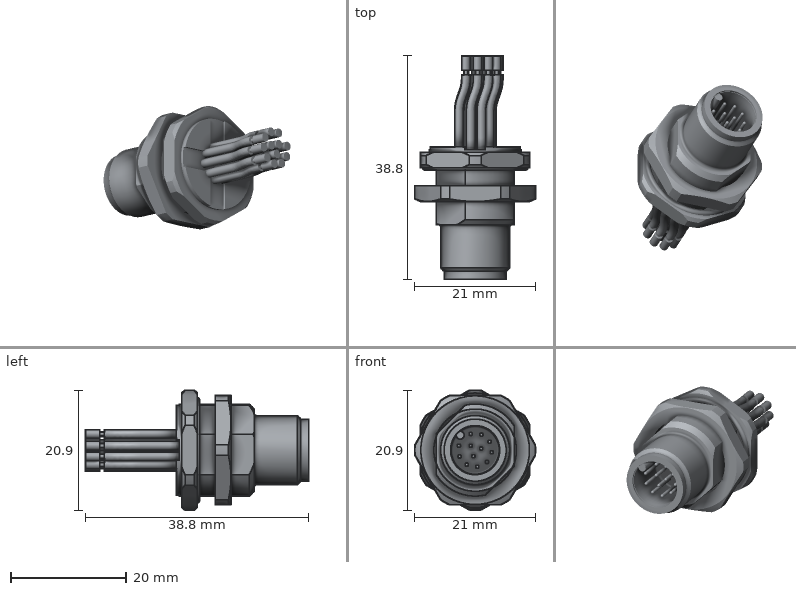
import cadquery as cq
import math


NOSE_END = 1.4
SLEEVE_START = 2.0
SLEEVE_END = 9.08
BODY_START = 9.5
LOCKNUT_START = 13.5
LOCKNUT_END = 16.3
FLANGE_START = 19.35
FLANGE_END = 22.08
COLLAR_END = 23.0
BEND_START = 29.3
BEND_END = 34.75
INSULATION_END = 35.5
CAP_START = 36.28
WIRE_END = 38.8

NOSE_RADIUS = 10.8 / 2
SLEEVE_RADIUS = 12.0 / 2
BODY_RADIUS = 16.0 / 2
BODY_CHAMFER = 0.85
BODY_FLAT_DISTANCE = 6.75
BODY_FLAT_ANGLES = (0, 135, 180, 315)
ROOT_FILLET = BODY_START - SLEEVE_END

MOUTH_RADIUS = 4.25
MOUTH_DEPTH = 0.4
SOCKET_RADIUS = 8.4 / 2
SOCKET_FLOOR_FILLET = 0.35
SOCKET_DEPTH = 9.3
KEY_RADIUS = 0.7
KEY_OFFSET = 3.7
KEY_START = MOUTH_DEPTH
KEY_ANGLE = 135

HEX_ACROSS_FLATS = 19.0
LOCKNUT_CORNER_RADIUS = 21.0 / 2
LOCKNUT_FACE_RADIUS = 9.43
LOCKNUT_BEVEL = 0.45
LOCKNUT_BORE_RADIUS = 7.18
FLANGE_CORNER_RADIUS = 20.87 / 2
FLANGE_FACE_RADIUS = 9.95
FLANGE_BEVEL = 0.6

SEAL_RING_RADIUS = 8.65
SEAL_SECTION_RADIUS = 0.5
SEAL_PROTRUSION = 0.4

NOTCH_WIDTH = 3.55
NOTCH_DEPTH = 0.45

OUTER_COUNT = 9
OUTER_CIRCLE_RADIUS = 2.9
OUTER_PITCH = 37.6
INNER_COUNT = 3
INNER_CIRCLE_RADIUS = 1.1
PIN_RADIUS = 0.6 / 2
PIN_TIP_FILLET = 0.27
PIN_START = 2.0
WIRE_RADIUS = 1.5 / 2
CONDUCTOR_RADIUS = 0.7 / 2
WIRE_SHIFT = 1.2


def polar(radius, angle):
    """Point (x, z) at an angle measured from +X toward +Z."""
    return radius * math.cos(math.radians(angle)), radius * math.sin(math.radians(angle))


def rod(radius, start, end, x=0.0, z=0.0):
    """Cylinder along Y between two stations."""
    return cq.Workplane("XZ", origin=(x, start, z)).circle(radius).extrude(start - end)


def revolve_profile(sketch):
    """Revolve a closed (radius, y) profile around the Y axis."""
    return sketch.close().revolve(360, (0, 0, 0), (0, 1, 0))


def contact_positions():
    """Outer arc of positions that leaves a gap at the key, then the inner triangle."""
    first_angle = KEY_ANGLE + (360 - (OUTER_COUNT - 1) * OUTER_PITCH) / 2
    outer = [polar(OUTER_CIRCLE_RADIUS, first_angle + i * OUTER_PITCH) for i in range(OUTER_COUNT)]
    inner = [polar(INNER_CIRCLE_RADIUS, KEY_ANGLE + i * 360 / INNER_COUNT) for i in range(INNER_COUNT)]
    return outer + inner


def shell():
    """Nose and sleeve, running into the body through a concave fillet."""
    fillet_middle = ROOT_FILLET * (1 - math.sqrt(0.5))
    sketch = (
        cq.Workplane("XY")
        .lineTo(NOSE_RADIUS, 0)
        .lineTo(NOSE_RADIUS, NOSE_END)
        .lineTo(SLEEVE_RADIUS, SLEEVE_START)
        .lineTo(SLEEVE_RADIUS, SLEEVE_END)
        .threePointArc(
            (SLEEVE_RADIUS + fillet_middle, BODY_START - fillet_middle),
            (SLEEVE_RADIUS + ROOT_FILLET, BODY_START),
        )
        .lineTo(0, BODY_START)
    )
    return revolve_profile(sketch)


def body():
    """Chamfered body with flats on both X sides and on one diagonal."""
    length = FLANGE_START - BODY_START
    blank = rod(BODY_RADIUS, BODY_START, FLANGE_START).faces("<Y").chamfer(BODY_CHAMFER)
    for angle in BODY_FLAT_ANGLES:
        waste = (
            cq.Workplane("XY")
            .box(BODY_RADIUS, length, 2 * BODY_RADIUS, centered=(False, False, True))
            .translate((BODY_FLAT_DISTANCE, BODY_START, 0))
            .rotate((0, 0, 0), (0, 1, 0), -angle)
        )
        blank = blank.cut(waste)
    return blank


def hexagon(start, end, turn):
    """Hexagonal prism along Y; at zero turn two corners point along X."""
    across_corners = HEX_ACROSS_FLATS / math.cos(math.radians(30))
    prism = cq.Workplane("XZ").polygon(6, across_corners).extrude(start - end)
    return prism.translate((0, start, 0)).rotate((0, 0, 0), (0, 1, 0), turn)


def locknut():
    """Hexagon nut with rounded corners and a bevelled front face."""
    envelope = revolve_profile(
        cq.Workplane("XY")
        .moveTo(LOCKNUT_BORE_RADIUS, LOCKNUT_START)
        .lineTo(LOCKNUT_FACE_RADIUS, LOCKNUT_START)
        .lineTo(LOCKNUT_CORNER_RADIUS, LOCKNUT_START + LOCKNUT_BEVEL)
        .lineTo(LOCKNUT_CORNER_RADIUS, LOCKNUT_END)
        .lineTo(LOCKNUT_BORE_RADIUS, LOCKNUT_END)
    )
    return hexagon(LOCKNUT_START, LOCKNUT_END, 0).intersect(envelope)


def flange():
    """Hexagon flange with rounded corners, bevelled on both faces."""
    envelope = revolve_profile(
        cq.Workplane("XY")
        .moveTo(0, FLANGE_START)
        .lineTo(FLANGE_FACE_RADIUS, FLANGE_START)
        .lineTo(FLANGE_CORNER_RADIUS, FLANGE_START + FLANGE_BEVEL)
        .lineTo(FLANGE_CORNER_RADIUS, FLANGE_END - FLANGE_BEVEL)
        .lineTo(FLANGE_FACE_RADIUS, FLANGE_END)
        .lineTo(0, FLANGE_END)
    )
    return hexagon(FLANGE_START, FLANGE_END, 30).intersect(envelope)


def seal_ring():
    """Round-section ring partly sunk into the front of the flange."""
    center_y = FLANGE_START - SEAL_PROTRUSION + SEAL_SECTION_RADIUS
    section = cq.Workplane("XY").moveTo(SEAL_RING_RADIUS, center_y).circle(SEAL_SECTION_RADIUS)
    return section.revolve(360, (0, 0, 0), (0, 1, 0))


def collar():
    """Rear disc crossed by two perpendicular notches."""
    disc = rod(BODY_RADIUS, FLANGE_END, COLLAR_END)
    long_side = 2 * BODY_RADIUS
    for x_size, z_size in ((NOTCH_WIDTH, long_side), (long_side, NOTCH_WIDTH)):
        notch = cq.Workplane("XY").box(x_size, 2 * NOTCH_DEPTH, z_size)
        disc = disc.cut(notch.translate((0, COLLAR_END, 0)))
    return disc


def socket():
    """Stepped cavity, rounded at its floor, with the key rib left standing."""
    bore = rod(SOCKET_RADIUS, 0, SOCKET_DEPTH).faces(">Y").edges().fillet(SOCKET_FLOOR_FILLET)
    cavity = bore.union(rod(MOUTH_RADIUS, 0, MOUTH_DEPTH))
    key_x, key_z = polar(KEY_OFFSET, KEY_ANGLE)
    return cavity.cut(rod(KEY_RADIUS, KEY_START, SOCKET_DEPTH, key_x, key_z))


def pin(x, z):
    """Contact pin with a rounded tip, rooted in the socket floor."""
    return rod(PIN_RADIUS, PIN_START, SOCKET_DEPTH, x, z).faces("<Y").edges().fillet(PIN_TIP_FILLET)


def wire(x, z):
    """Insulated wire with an S-bend toward +X and a bare gap before its end cap."""
    end_x = x + WIRE_SHIFT
    path = cq.Workplane("XY", origin=(0, 0, z)).moveTo(x, BEND_START).spline(
        [(end_x, BEND_END)], tangents=[(0, 1), (0, 1)], includeCurrent=True
    )
    bend = cq.Workplane("XZ", origin=(x, BEND_START, z)).circle(WIRE_RADIUS).sweep(path)
    return (
        rod(WIRE_RADIUS, FLANGE_END, BEND_START, x, z)
        .union(bend)
        .union(rod(WIRE_RADIUS, BEND_END, INSULATION_END, end_x, z))
        .union(rod(CONDUCTOR_RADIUS, INSULATION_END, CAP_START, end_x, z))
        .union(rod(WIRE_RADIUS, CAP_START, WIRE_END, end_x, z))
    )


result = shell().union(body()).union(locknut()).union(flange()).union(seal_ring()).union(collar())
result = result.cut(socket())
for contact_x, contact_z in contact_positions():
    result = result.union(pin(contact_x, contact_z)).union(wire(contact_x, contact_z))